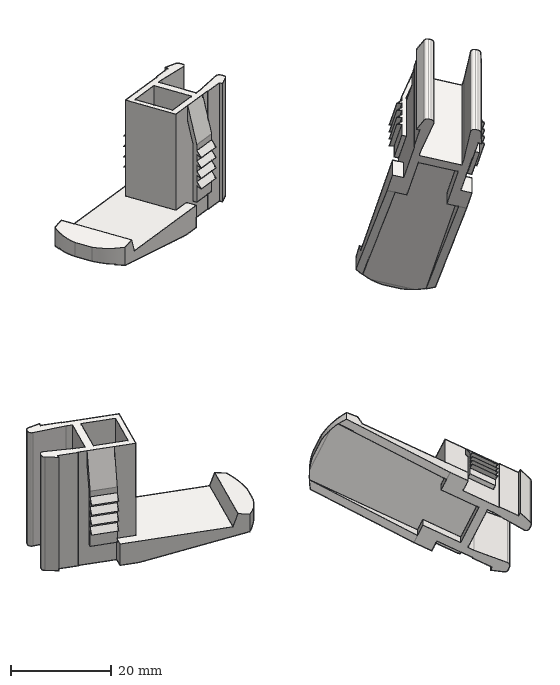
import cadquery as cq
import math


tower_height = 26.5
tower_half_width = 5.92
tower_rear_y = 10.15
cavity_half_width = 4.42
cavity_front_y = 1.2
cavity_rear_y = 8.4

lever_half_width = 8.25
lever_thickness = 5.0
lever_rear_y = 4.0
lever_tip_y = -25.55
taper_start_y = 0.0
taper_angle = 8.0
lip_foot_y = -19.5
lip_crest_y = -20.55
lip_crest_z = 7.9
lip_tip_z = 6.75
tip_radius = 14.0
tip_flat_half_width = 2.0

lever_skin = 1.5
recess_half_width = 6.57
inner_recess_half_width = 4.14
recess_roof_z = lever_thickness - lever_skin

arm_end_y = 19.45
arm_step_y = 12.0
arm_taper_y = 11.5
arm_half_width = 6.05
barb_half_width = 6.76
barb_y = 16.3
head_outer_x = 5.7
head_inner_x = 3.73
head_radius = 0.8

clip_front_y = 4.5
clip_outer_x = 8.05
clip_thickness = 0.93
clip_bottom_z = 5.4
clip_bend_z = 18.3
clip_root_height = 3.6
tooth_count = 4
tooth_pitch = 2.32
tooth_reach = 1.05
first_tooth_top_z = 16.96
tooth_root_height = 0.95
tooth_drop = 1.36


def box_between(x_half, y_min, y_max, z_min, z_max):
    """Box symmetric about X = 0 between the given Y and Z limits."""
    return (
        cq.Workplane("XY", origin=(0, (y_min + y_max) / 2, z_min))
        .rect(2 * x_half, y_max - y_min)
        .extrude(z_max - z_min)
    )


def both_sides(shape):
    """The shape together with its mirror image across X = 0."""
    return shape.union(shape.mirror("YZ"))


def make_tower():
    return box_between(tower_half_width, 0, tower_rear_y, 0, tower_height)


def make_lever():
    tip_bottom_z = (taper_start_y - lever_tip_y) * math.tan(math.radians(taper_angle))
    side_profile = (
        cq.Workplane("YZ")
        .moveTo(lever_rear_y, 0)
        .lineTo(taper_start_y, 0)
        .lineTo(lever_tip_y, tip_bottom_z)
        .lineTo(lever_tip_y, lip_tip_z)
        .lineTo(lip_crest_y, lip_crest_z)
        .lineTo(lip_foot_y, lever_thickness)
        .lineTo(lever_rear_y, lever_thickness)
        .close()
        .extrude(lever_half_width, both=True)
    )

    tip_centre_y = lever_tip_y + math.sqrt(tip_radius**2 - tip_flat_half_width**2)
    tip_disc = cq.Workplane("XY").center(0, tip_centre_y).circle(tip_radius).extrude(tower_height)
    straight_part = box_between(lever_half_width, tip_centre_y, lever_rear_y, 0, tower_height)
    return side_profile.intersect(tip_disc.union(straight_part))


def make_recess():
    wide = box_between(recess_half_width, lever_tip_y, 0, 0, recess_roof_z)
    narrow = box_between(inner_recess_half_width, lever_tip_y, cavity_rear_y, 0, recess_roof_z)
    return wide.union(narrow)


def make_snap_arm():
    arm = (
        cq.Workplane("XY")
        .moveTo(cavity_half_width, cavity_rear_y)
        .lineTo(tower_half_width, cavity_rear_y)
        .lineTo(tower_half_width, arm_step_y)
        .lineTo(arm_half_width, arm_step_y)
        .lineTo(arm_half_width, barb_y)
        .lineTo(barb_half_width, barb_y)
        .lineTo(head_outer_x, arm_end_y)
        .lineTo(head_inner_x, arm_end_y)
        .lineTo(cavity_half_width, arm_taper_y)
        .close()
        .extrude(tower_height)
    )
    return arm.edges("|Z and >Y").fillet(head_radius)


def make_clip():
    clip_inner_x = clip_outer_x - clip_thickness
    clip_plane = cq.Workplane("XZ", origin=(0, tower_rear_y, 0))
    clip_width = tower_rear_y - clip_front_y
    clip = (
        clip_plane.moveTo(tower_half_width, tower_height)
        .lineTo(clip_outer_x, clip_bend_z)
        .lineTo(clip_outer_x, clip_bottom_z)
        .lineTo(clip_inner_x, clip_bottom_z)
        .lineTo(clip_inner_x, clip_bend_z)
        .lineTo(tower_half_width, tower_height - clip_root_height)
        .close()
        .extrude(clip_width)
    )
    for index in range(tooth_count):
        top_z = first_tooth_top_z - index * tooth_pitch
        tooth = (
            clip_plane.moveTo(clip_inner_x, top_z)
            .lineTo(clip_outer_x, top_z)
            .lineTo(clip_outer_x + tooth_reach, top_z - tooth_drop)
            .lineTo(clip_outer_x, top_z - tooth_root_height)
            .lineTo(clip_inner_x, top_z - tooth_root_height)
            .close()
            .extrude(clip_width)
        )
        clip = clip.union(tooth)
    return clip


cavity = box_between(cavity_half_width, cavity_front_y, cavity_rear_y, lever_thickness, tower_height)

result = (
    make_tower()
    .union(make_lever())
    .union(both_sides(make_snap_arm()))
    .union(both_sides(make_clip()))
    .cut(cavity)
    .cut(make_recess())
)